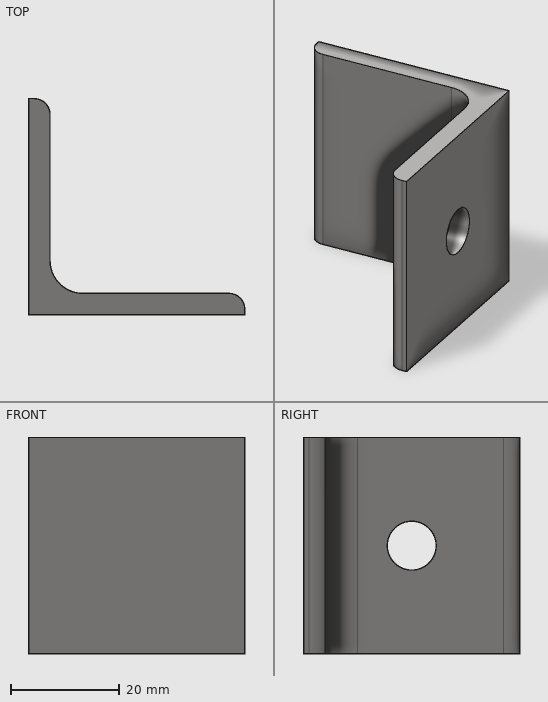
import cadquery as cq

leg_length = 40.0
leg_thickness = 4.0
root_radius = 6.0
toe_radius = 3.0
height = 40.0
hole_diameter = 9.0


def angle_profile():
    """L-shaped outline with its outer corner at the origin and sharp inner corners."""
    return (
        cq.Workplane("XY")
        .moveTo(0, 0)
        .lineTo(leg_length, 0)
        .lineTo(leg_length, leg_thickness)
        .lineTo(leg_thickness, leg_thickness)
        .lineTo(leg_thickness, leg_length)
        .lineTo(0, leg_length)
        .close()
    )


def vertical_edge_at(x, y):
    """Selector for the vertical edge passing through (x, y)."""
    return cq.selectors.NearestToPointSelector((x, y, height / 2))


angle = angle_profile().extrude(height)

angle = angle.edges("|Z").edges(vertical_edge_at(leg_thickness, leg_thickness)).fillet(root_radius)
for toe_x, toe_y in [(leg_length, leg_thickness), (leg_thickness, leg_length)]:
    angle = angle.edges("|Z").edges(vertical_edge_at(toe_x, toe_y)).fillet(toe_radius)

hole = (
    cq.Workplane("YZ")
    .center(leg_length / 2, height / 2)
    .circle(hole_diameter / 2)
    .extrude(leg_thickness)
)

result = angle.cut(hole)